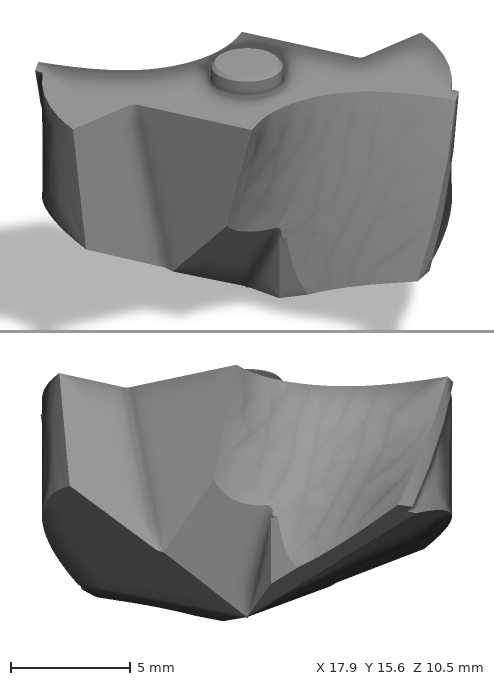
import cadquery as cq
import math

point_depth = 9.65
margin_radius = 8.95
land_radius = 8.61
twist_rate = 3.743
margin_angles = (14.7, 20.0)
land_start_angle = 21.2
flute_exit_angle = 105.0

flute_wall = [(-2.24, 4.03), (-2.18, 2.86), (-2.5, 1.38), (-3.08, 0.3), (-4.35, -0.97), (-6.37, -1.86)]

notch_corner_x = -3.35
notch_wall_y = -4.05
notch_wall_run = 0.365
notch_lean = 0.2
notch_draft = 0.02
notch_corner_radius = 0.27

lip_slope = 0.35
heel_slope = 0.4
lip_relief = 0.1

gash_valley = cq.Vector(13.3, -9.0, 22.5)
gash_floor_edge = cq.Vector(-9.4, -22.0, 11.3)
gash_radius = 0.27

lip_flat_start_x = 2.18
lip_flat_y = -1.54
lip_flat_length = 1.79
lip_flat_width = 3.58
lip_flat_top = -6.09

boss_radius = 1.5
boss_height = 0.86
boss_chamfer = 0.15
boss_root_radius = 0.15

reach = 14.32


def polar(radius, degrees):
    angle = math.radians(degrees)
    return radius * math.cos(angle), radius * math.sin(angle)


def opposite(point):
    return -point[0], -point[1]


def half_turn(shape):
    return shape.rotate((0, 0, 0), (0, 0, 1), 180)


def twisted_body():
    """Two-flute section, twisted from the drill point up to the top face."""
    margin_start, margin_end = margin_angles
    outline = cq.Workplane("XY").moveTo(*polar(margin_radius, margin_start))
    for turn in (0, 180):
        side = (lambda point: point) if turn == 0 else opposite
        margin_middle = turn + (margin_start + margin_end) / 2
        land_middle = turn + (land_start_angle + flute_exit_angle) / 2
        wall = [side(point) for point in flute_wall]
        next_margin = polar(margin_radius, turn + 180 + margin_start)
        outline = (
            outline
            .threePointArc(polar(margin_radius, margin_middle), polar(margin_radius, turn + margin_end))
            .lineTo(*polar(land_radius, turn + land_start_angle))
            .threePointArc(polar(land_radius, land_middle), polar(land_radius, turn + flute_exit_angle))
            .lineTo(*wall[0])
            .spline(wall[1:] + [next_margin], includeCurrent=True)
        )
    twist = twist_rate * point_depth
    body = outline.close().twistExtrude(point_depth, twist)
    return body.rotate((0, 0, 0), (0, 0, 1), -twist).translate((0, 0, -point_depth))


def notch_cutter():
    """Leaning wedge behind the heel, open towards -Y and +X."""
    notch_depth = point_depth + 0.18
    far_y = notch_wall_y - reach
    far_x = notch_corner_x - notch_wall_run * reach
    shift = notch_lean * notch_depth
    corners = [(notch_corner_x, notch_wall_y), (reach, notch_wall_y), (reach, far_y), (far_x, far_y)]
    draft = notch_draft * notch_depth
    lower_corners = [(x + shift, y + draft) for x, y in corners]
    wedge = (
        cq.Workplane("XY").polyline(corners).close()
        .workplane(offset=-notch_depth).polyline(lower_corners).close()
        .loft(ruled=True)
    )
    corner_middle = (notch_corner_x + shift / 2, notch_wall_y + draft / 2, -notch_depth / 2)
    return wedge.edges(cq.NearestToPointSelector(corner_middle)).fillet(notch_corner_radius)


def point_envelope():
    """Space above the lip and heel facets of the +X wing."""
    def section(rise):
        ridge = rise - point_depth
        return [
            (-reach, ridge - lip_relief * reach),
            (0, ridge),
            (reach, ridge + heel_slope * reach),
            (reach, reach),
            (-reach, reach),
        ]

    return (
        cq.Workplane("YZ").polyline(section(0)).close()
        .workplane(offset=reach).polyline(section(lip_slope * reach)).close()
        .loft(ruled=True)
    )


def gash_cutter():
    """V-shaped gash between a vertical wall through the axis and a sloped floor."""
    axis = gash_valley.normalized()
    down = cq.Vector(0, 0, -1)
    wall_direction = (down - axis * down.dot(axis)).normalized()
    floor_direction = (gash_floor_edge - axis * gash_floor_edge.dot(axis)).normalized()
    plane = cq.Plane(origin=(0, 0, -point_depth), xDir=wall_direction, normal=axis)
    floor_angle = math.atan2(floor_direction.dot(plane.yDir), floor_direction.dot(plane.xDir))
    far_floor = (reach * math.cos(floor_angle), reach * math.sin(floor_angle))
    gash = (
        cq.Workplane(plane)
        .polyline([(0, 0), (reach, 0), (reach + far_floor[0], far_floor[1]), far_floor]).close()
        .extrude(reach, both=True)
    )
    valley_point = (0, 0, -point_depth)
    return gash.edges(cq.NearestToPointSelector(valley_point)).fillet(gash_radius)


def lip_flat_cutter():
    """Block leaving a vertical flat between the gash wall and the flute."""
    height = point_depth + lip_flat_top
    return cq.Workplane("XY").box(lip_flat_length, lip_flat_width, height, centered=False).translate(
        (lip_flat_start_x, lip_flat_y - lip_flat_width, -point_depth)
    )


def boss():
    """Chamfered boss with a concave root fillet, revolved about the axis."""
    root_offset = boss_root_radius * (1 - math.sqrt(0.5))
    return (
        cq.Workplane("XZ").lineTo(boss_radius + boss_root_radius, 0)
        .threePointArc((boss_radius + root_offset, root_offset), (boss_radius, boss_root_radius))
        .lineTo(boss_radius, boss_height - boss_chamfer)
        .lineTo(boss_radius - boss_chamfer, boss_height)
        .lineTo(0, boss_height).close()
        .revolve(360, (0, 0, 0), (0, 1, 0))
    )


envelope = point_envelope()
result = twisted_body().intersect(envelope.union(half_turn(envelope)))
for cutter in (notch_cutter(), gash_cutter(), lip_flat_cutter()):
    result = result.cut(cutter).cut(half_turn(cutter))
result = result.union(boss())